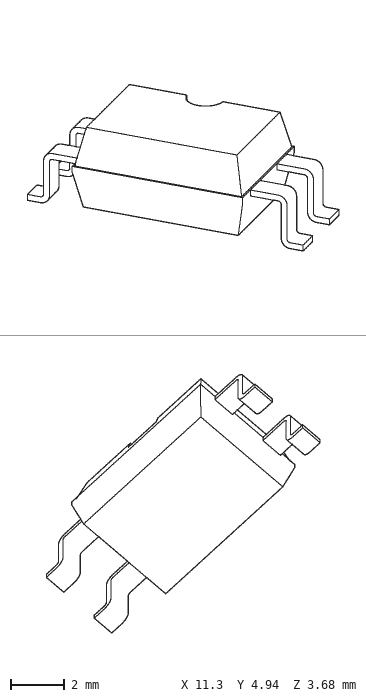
import cadquery as cq

overall_length = 11.32
overall_height = 3.68
body_length = 7.0
body_width = 4.94
body_bottom = 0.37
band_bottom = 1.89
band_height = 0.26
band_top = band_bottom + band_height
upper_ledge = 0.07
upper_inset = 0.34
lower_inset = 0.32

notch_radius = 0.75
notch_center_y = 2.13
notch_depth = 0.45

lead_thickness = 0.25
lead_top = band_bottom + (band_height + lead_thickness) / 2
lead_width = 0.92
lead_offset_y = 1.26
foot_reach = 0.66
inner_bend = 0.12
outer_bend = inner_bend + lead_thickness
lead_embed = 0.23


def tapered_block(length, width, start_z, height, inset):
    """Block whose sides all lean in by inset from start_z to start_z + height."""
    return (
        cq.Workplane("XY", origin=(0, 0, start_z))
        .rect(length, width)
        .workplane(offset=height)
        .rect(length - 2 * inset, width - 2 * inset)
        .loft(combine=True, ruled=True)
    )


def make_body():
    upper = tapered_block(
        body_length - 2 * upper_ledge,
        body_width - 2 * upper_ledge,
        band_top,
        overall_height - band_top,
        upper_inset,
    )
    lower = tapered_block(
        body_length, body_width, band_bottom, body_bottom - band_bottom, lower_inset
    )
    band = (
        cq.Workplane("XY", origin=(0, 0, band_bottom))
        .rect(body_length, body_width)
        .extrude(band_height)
    )
    notch = (
        cq.Workplane("XY", origin=(0, notch_center_y, overall_height - notch_depth))
        .circle(notch_radius)
        .extrude(notch_depth)
    )
    return band.union(upper.cut(notch)).union(lower)


def make_lead(center_y):
    """Lead on the -X side: foot, upright and shoulder, with concentric bends."""
    toe_x = -overall_length / 2
    outer_x = toe_x + foot_reach
    inner_x = outer_x + lead_thickness
    root_x = -body_length / 2 + lead_embed
    blank = (
        cq.Workplane("XZ", origin=(0, center_y + lead_width / 2, 0))
        .moveTo(toe_x, 0)
        .lineTo(inner_x, 0)
        .lineTo(inner_x, lead_top - lead_thickness)
        .lineTo(root_x, lead_top - lead_thickness)
        .lineTo(root_x, lead_top)
        .lineTo(outer_x, lead_top)
        .lineTo(outer_x, lead_thickness)
        .lineTo(toe_x, lead_thickness)
        .close()
        .extrude(lead_width)
    )

    def bend_edge(x, z):
        return cq.selectors.NearestToPointSelector((x, center_y, z))

    return (
        blank.edges(bend_edge(outer_x, lead_top))
        .fillet(outer_bend)
        .edges(bend_edge(inner_x, lead_top - lead_thickness))
        .fillet(inner_bend)
        .edges(bend_edge(inner_x, 0))
        .fillet(outer_bend)
        .edges(bend_edge(outer_x, lead_thickness))
        .fillet(inner_bend)
    )


result = make_body()
for center_y in (-lead_offset_y, lead_offset_y):
    lead = make_lead(center_y)
    result = result.union(lead).union(lead.mirror("YZ"))